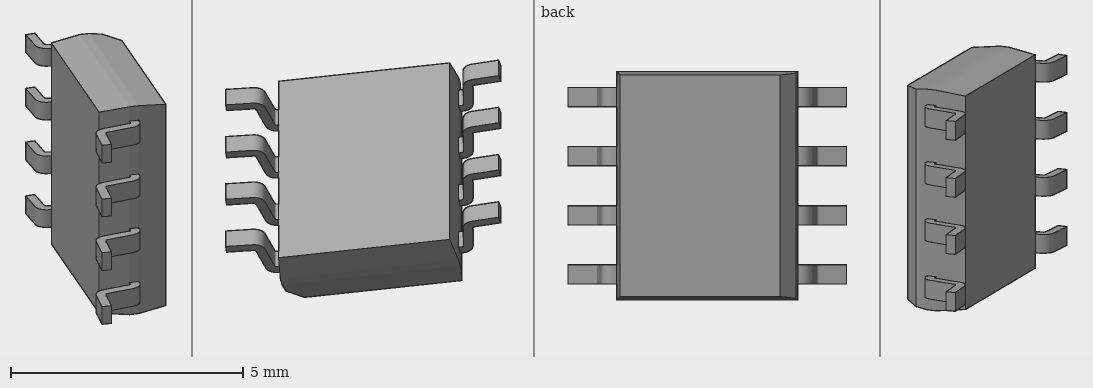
import cadquery as cq
import math


housing_width = 3.9
housing_length = 4.92
band_thickness = 0.21
back_depth = 0.63
front_depth = 0.655
draft_angle = 7.0
chamfer_leg = 0.35

lead_span = 6.0
lead_thickness = band_thickness
lead_width = 0.42
lead_pitch = 1.27
leads_per_side = 4
flat_length = 0.065
shank_length = 0.62
shank_angle = 81.0
foot_angle = 4.0
bend_inner_radius = 0.05
bend_outer_radius = bend_inner_radius + lead_thickness


def tapered_block(depth):
    """Block that starts at the band's outline and narrows toward -Y."""
    return (
        cq.Workplane("XZ")
        .rect(housing_width, housing_length)
        .extrude(depth, taper=draft_angle)
    )


def make_housing():
    band = cq.Workplane("XY").box(housing_width, band_thickness, housing_length)
    front = tapered_block(front_depth).translate((0, -band_thickness / 2, 0))
    back = tapered_block(back_depth).mirror("XZ").translate((0, band_thickness / 2, 0))
    return band.union(front).union(back).cut(make_bevel())


def make_bevel():
    """Triangular prism removed along the -X back edge."""
    back_y = band_thickness / 2 + back_depth
    wall_inset = (back_depth - chamfer_leg) * math.tan(math.radians(draft_angle))
    bevel_end_x = -housing_width / 2 + wall_inset
    return (
        cq.Workplane("XY")
        .moveTo(bevel_end_x, back_y - chamfer_leg)
        .lineTo(bevel_end_x + chamfer_leg, back_y)
        .lineTo(bevel_end_x, back_y)
        .close()
        .extrude(housing_length / 2, both=True)
    )


def polar(center, radius, angle):
    """Point at a radius from a centre; the angle turns from +Y toward +X."""
    turn = math.radians(angle)
    return (center[0] + radius * math.sin(turn), center[1] + radius * math.cos(turn))


def advance(point, distance, angle):
    """Point moved along a heading that dips below +X by the angle."""
    return polar(point, distance, angle + 90)


def make_lead():
    """Lead on the +X side, centred on Z = 0."""
    wall_x = housing_width / 2
    upper_y = lead_thickness / 2
    shoulder = (wall_x + flat_length, upper_y - bend_outer_radius)
    shank_end = advance(polar(shoulder, bend_outer_radius, shank_angle), shank_length, shank_angle)
    ankle = polar(shank_end, bend_inner_radius, shank_angle)

    ankle_start = shank_angle + 180
    ankle_end = foot_angle + 180
    ankle_middle = (ankle_start + ankle_end) / 2
    foot_top = polar(ankle, bend_inner_radius, ankle_end)
    foot_length = (lead_span / 2 - foot_top[0]) / math.cos(math.radians(foot_angle))
    toe_top = advance(foot_top, foot_length, foot_angle)
    toe_bottom = polar(toe_top, -lead_thickness, foot_angle)

    return (
        cq.Workplane("XY")
        .moveTo(wall_x, upper_y)
        .lineTo(*polar(shoulder, bend_outer_radius, 0))
        .threePointArc(
            polar(shoulder, bend_outer_radius, shank_angle / 2),
            polar(shoulder, bend_outer_radius, shank_angle),
        )
        .lineTo(*shank_end)
        .threePointArc(polar(ankle, bend_inner_radius, ankle_middle), foot_top)
        .lineTo(*toe_top)
        .lineTo(*toe_bottom)
        .lineTo(*polar(ankle, bend_outer_radius, ankle_end))
        .threePointArc(
            polar(ankle, bend_outer_radius, ankle_middle),
            polar(ankle, bend_outer_radius, ankle_start),
        )
        .lineTo(*polar(shoulder, bend_inner_radius, shank_angle))
        .threePointArc(
            polar(shoulder, bend_inner_radius, shank_angle / 2),
            polar(shoulder, bend_inner_radius, 0),
        )
        .lineTo(wall_x, upper_y - lead_thickness)
        .close()
        .extrude(lead_width / 2, both=True)
    )


housing = make_housing()

right_lead = make_lead()
left_lead = right_lead.mirror("YZ")
leads = []
for row in range(leads_per_side):
    lead_z = (row - (leads_per_side - 1) / 2) * lead_pitch
    for lead in (left_lead, right_lead):
        leads.append(lead.translate((0, 0, lead_z)).solids().val())

result = cq.Compound.makeCompound([housing.solids().val(), *leads])